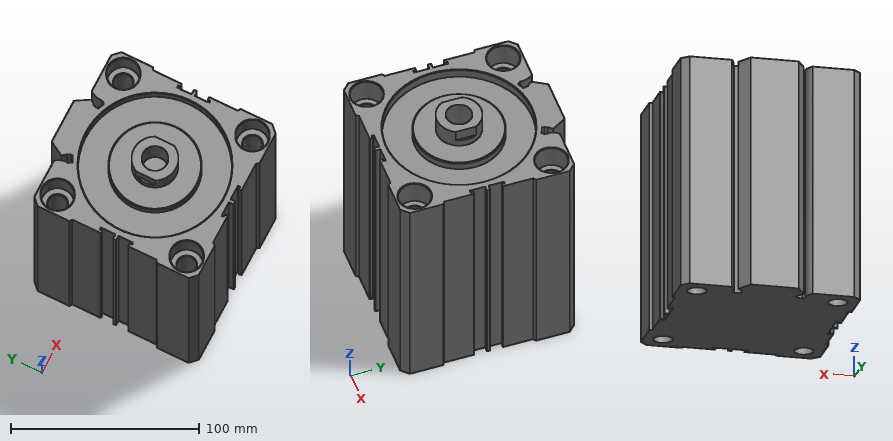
import cadquery as cq


width = 98.0
total_height = 138.5
rod_projection = 10.0
housing_height = total_height - rod_projection
half_width = width / 2
corner_chamfer = 4.0

relief_depth = 1.5
relief_outer_half = 26.2
relief_floor_half = 25.0

slot_depth = 4.5
slot_opening_half = 8.0
slot_undercut_half = 9.5
slot_lip = 1.7
fin_half = 1.0
edge_break = 0.3

total_depth = 104.0
rail_top = total_depth - half_width
rail_top_half = 13.0
rail_tip = (17.9, 46.8)
rail_neck = (15.7, 44.5)
groove_inner_top = (15.0, 42.7)
groove_inner_floor = (15.0, 41.4)
groove_bottom = (18.5, 39.9)
groove_outer_floor = (19.8, 41.5)
groove_outer_bulge = (20.2, 45.4)
groove_mouth_x = 22.2

recess_radius = 40.9
recess_depth = 5.7
recess_chamfer = 0.4
boss_radius = 24.9
boss_drop = 1.0
boss_chamfer = 0.5
boss_top = housing_height - boss_drop
recess_floor = housing_height - recess_depth

bolt_offset = 38.5
bolt_radius = 5.3
counterbore_radius = 8.9
counterbore_depth = 13.8
bolt_edge_chamfer = 0.4

rod_radius = 12.5
rod_length = 27.7
rod_bottom = total_height - rod_length
flat_half_width = 11.1
flat_height = 6.6
rod_bore_radius = 7.0
rod_bore_depth = 16.6


def housing_block():
    """Chamfered square block, before the grooves and holes."""
    edge = half_width - corner_chamfer
    corners = [
        (edge, -half_width), (half_width, -edge), (half_width, edge), (edge, half_width),
        (-edge, half_width), (-half_width, edge), (-half_width, -edge), (-edge, -half_width),
    ]
    return cq.Workplane("XY").polyline(corners).close().extrude(housing_height)


def rail():
    """Flared rail on the back face, rooted in the block."""
    half = [(rail_top_half, rail_top), rail_tip, rail_neck, groove_inner_top, groove_inner_floor]
    mirrored = [(-x, y) for x, y in reversed(half)]
    return cq.Workplane("XY").polyline(half + mirrored).close().extrude(housing_height)


def switch_groove(side):
    """Cutter from the groove wall to X = 0; side is +1 or -1 along X."""
    def at(point):
        return (side * point[0], point[1])

    return (
        cq.Workplane("XY")
        .moveTo(*at((groove_mouth_x, half_width)))
        .threePointArc(at(groove_outer_bulge), at(groove_outer_floor))
        .lineTo(*at(groove_bottom))
        .lineTo(*at(groove_inner_floor))
        .lineTo(0, groove_inner_floor[1])
        .lineTo(0, half_width)
        .close()
        .extrude(housing_height)
    )


def face_profile(angle):
    """Relief and T-slot pair cut in the front face, turned about Z to the wanted face."""
    relief_y = -half_width + relief_depth
    lip_y = relief_y + slot_lip
    floor_y = -half_width + slot_depth
    cutter = (
        cq.Workplane("XY")
        .polyline([
            (-relief_outer_half, -half_width), (relief_outer_half, -half_width),
            (relief_floor_half, relief_y), (-relief_floor_half, relief_y),
        ])
        .close()
        .extrude(housing_height)
    )
    for side in (-1, 1):
        slot = (
            cq.Workplane("XY")
            .polyline([
                (side * (fin_half - edge_break), relief_y),
                (side * (slot_opening_half + edge_break), relief_y),
                (side * slot_opening_half, relief_y + edge_break),
                (side * slot_opening_half, lip_y), (side * slot_undercut_half, lip_y),
                (side * slot_undercut_half, floor_y), (side * fin_half, floor_y),
                (side * fin_half, relief_y + edge_break),
            ])
            .close()
            .extrude(housing_height)
        )
        cutter = cutter.union(slot)
    return cutter.rotate((0, 0, 0), (0, 0, 1), angle)


def end_recess():
    """Ring-shaped recess around the boss, as a half section turned about Z."""
    return (
        cq.Workplane("XZ")
        .polyline([
            (0, boss_top), (boss_radius - boss_chamfer, boss_top),
            (boss_radius, boss_top - boss_chamfer), (boss_radius, recess_floor),
            (recess_radius, recess_floor), (recess_radius, housing_height - recess_chamfer),
            (recess_radius + recess_chamfer, housing_height), (0, housing_height),
        ])
        .close()
        .revolve(360, (0, 0, 0), (0, 1, 0))
    )


def bolt_hole(x, y):
    """Through hole with a counterbore, chamfered at the mouth and at the counterbore seat."""
    seat = housing_height - counterbore_depth
    return (
        cq.Workplane("XZ")
        .polyline([
            (0, 0), (bolt_radius, 0), (bolt_radius, seat - bolt_edge_chamfer),
            (bolt_radius + bolt_edge_chamfer, seat), (counterbore_radius, seat),
            (counterbore_radius, housing_height - bolt_edge_chamfer),
            (counterbore_radius + bolt_edge_chamfer, housing_height), (0, housing_height),
        ])
        .close()
        .revolve(360, (0, 0, 0), (0, 1, 0))
        .translate((x, y, 0))
    )


def make_housing():
    body = housing_block()
    for side in (-1, 1):
        body = body.cut(switch_groove(side))
    body = body.union(rail())
    for angle in (0, 90, -90):
        body = body.cut(face_profile(angle))
    body = body.cut(end_recess())
    for x in (-bolt_offset, bolt_offset):
        for y in (-bolt_offset, bolt_offset):
            body = body.cut(bolt_hole(x, y))
    rod_socket = cq.Workplane("XY").workplane(offset=rod_bottom).circle(rod_radius).extrude(rod_length)
    return body.cut(rod_socket)


def make_rod():
    """Round rod with two wrench flats and a blind bore in its end."""
    rod = cq.Workplane("XY").workplane(offset=rod_bottom).circle(rod_radius).extrude(rod_length)
    end = cq.Workplane("XY").workplane(offset=total_height - flat_height)
    across_flats = end.rect(2 * flat_half_width, 2 * rod_radius).extrude(flat_height)
    flat_cut = end.circle(2 * rod_radius).extrude(flat_height).cut(across_flats)
    bore = (
        cq.Workplane("XY").workplane(offset=total_height - rod_bore_depth)
        .circle(rod_bore_radius).extrude(rod_bore_depth)
    )
    return rod.cut(flat_cut).cut(bore)


housing = make_housing()
rod = make_rod()
result = cq.Compound.makeCompound([housing.val(), rod.val()])